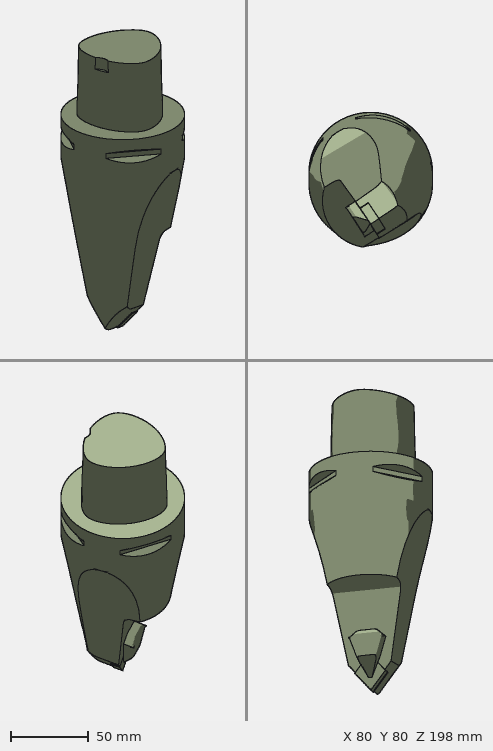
import cadquery as cq
import math


shank_height = 48.0
shank_mean_radius = 27.7
shank_lobe_height = 2.0
shank_taper = 1.2
shank_curve_points = 36

keyway_height = 8.1
keyway_floor_y = -22.5
keyway_radius = 8.0

collar_diameter = 80.0
collar_radius = collar_diameter / 2
collar_height = 30.0
groove_count = 4
groove_z = -12.3
groove_floor_distance = 35.6
groove_floor_height = 3.4
groove_mouth_height = 9.0

tip_z = shank_height - 198
cone_slope = 0.17
flank_slope = 0.18
flank_tangent_z = -81.0
flank_tangent_x = 23.5

chip_space_z = -82.0
chip_space_fillet = 6.0
rake_angle = 8.0

insert_corner_angle = 80.0
insert_edge = 16.0
insert_thickness = 6.3

nose_setback = 0.5
nose_straight_depth = 14.3
relief_radius = 17.8
relief_end_angle = math.radians(40)
relief_run_out = 11.9

clamp_bottom = 8.5
clamp_shoulder = 21.8
clamp_widest = 34.6
clamp_top = 39.8
clamp_bottom_half_width = 1.2
clamp_shoulder_half_width = 7.1
clamp_widest_half_width = 11.5
clamp_top_half_width = 6.0
clamp_rise = 7.0
clamp_tail_radius = 5.0
clamp_edge_radius = 2.0

clearance = 9.9

half_corner = math.radians(insert_corner_angle / 2)
rake = math.radians(rake_angle)
rake_plane = cq.Plane(
    origin=(0, 0, tip_z),
    xDir=(-1, 0, 0),
    normal=(0, math.cos(rake), -math.sin(rake)),
)


def in_rake_frame(shape):
    """Move a shape built around the local origin onto the rake face."""
    return cq.Workplane(shape.val().moved(cq.Location(rake_plane)))


def trilobe_point(mean_radius, angle):
    """Point of the curve whose support function is mean_radius + lobe * cos(3 * angle)."""
    support = mean_radius + shank_lobe_height * math.cos(3 * angle)
    slide = -3 * shank_lobe_height * math.sin(3 * angle)
    x = support * math.sin(angle) + slide * math.cos(angle)
    y = support * math.cos(angle) - slide * math.sin(angle)
    return x, y


def trilobe_points(mean_radius):
    step = 2 * math.pi / shank_curve_points
    return [trilobe_point(mean_radius, i * step) for i in range(shank_curve_points)]


def make_shank():
    shank = (
        cq.Workplane("XY")
        .spline(trilobe_points(shank_mean_radius), periodic=True).close()
        .workplane(offset=shank_height)
        .spline(trilobe_points(shank_mean_radius - shank_taper), periodic=True).close()
        .loft(ruled=True)
    )
    keyway = (
        cq.Workplane("XY", origin=(0, keyway_floor_y - keyway_radius, shank_height - keyway_height))
        .circle(keyway_radius)
        .extrude(keyway_height)
    )
    return shank.cut(keyway)


def make_groove(angle):
    """Straight groove with sloped sides, its floor facing the given direction."""
    depth = collar_radius - groove_floor_distance
    side_slope = (groove_mouth_height - groove_floor_height) / 2 / depth
    outer = collar_radius + clearance
    outer_half = groove_floor_height / 2 + side_slope * (outer - groove_floor_distance)
    floor_half = groove_floor_height / 2
    return (
        cq.Workplane("XZ", origin=(0, 0, groove_z))
        .polyline([
            (groove_floor_distance, -floor_half),
            (outer, -outer_half),
            (outer, outer_half),
            (groove_floor_distance, floor_half),
        ])
        .close()
        .extrude(collar_radius, both=True)
        .rotate((0, 0, 0), (0, 0, 1), angle)
    )


def make_collar():
    collar = cq.Workplane("XY").circle(collar_radius).extrude(-collar_height)
    for i in range(groove_count):
        collar = collar.cut(make_groove((i + 0.5) * 360 / groove_count))
    return collar


def make_flank_outline():
    """Cone limits in X: a concave arc on each side running into a straight slope."""
    end_x = flank_tangent_x + flank_slope * (tip_z - flank_tangent_z)
    return (
        cq.Workplane("XZ")
        .moveTo(end_x, tip_z)
        .lineTo(flank_tangent_x, flank_tangent_z)
        .tangentArcPoint((collar_radius, -collar_height), relative=False)
        .lineTo(0, -collar_height)
        .lineTo(0, tip_z)
        .close()
        .extrude(collar_radius, both=True)
    )


def make_neck():
    neck_length = -collar_height - tip_z
    cone = (
        cq.Workplane("XZ")
        .polyline([
            (0, -collar_height),
            (collar_radius, -collar_height),
            (collar_radius - cone_slope * neck_length, tip_z),
            (0, tip_z),
        ])
        .close()
        .revolve(360, (0, 0, 0), (0, 1, 0))
    )
    flank = make_flank_outline()
    return cone.intersect(flank.union(flank.mirror("YZ")))


def make_chip_space():
    bottom_z = tip_z - clearance
    outer_y = collar_radius + clearance
    return (
        cq.Workplane("YZ")
        .polyline([
            ((bottom_z - tip_z) * math.tan(rake), bottom_z),
            ((chip_space_z - tip_z) * math.tan(rake), chip_space_z),
            (outer_y, chip_space_z),
            (outer_y, bottom_z),
        ])
        .close()
        .extrude(collar_radius, both=True)
        .edges("|X").edges(">Z").edges("<Y").fillet(chip_space_fillet)
    )


def make_nose_cutter():
    """Material beyond one nose wall: straight behind the insert, then curving inward."""
    apex_height = nose_setback / math.sin(half_corner)
    wall_plane = cq.Plane(
        origin=(0, apex_height, 0),
        xDir=(math.cos(half_corner), -math.sin(half_corner), 0),
        normal=(-math.sin(half_corner), -math.cos(half_corner), 0),
    )

    def relief_point(angle):
        inward = relief_radius * (1 - math.cos(angle))
        return -inward, -nose_straight_depth - relief_radius * math.sin(angle)

    end_x, end_depth = relief_point(relief_end_angle)
    run_out_x = end_x - relief_run_out * math.sin(relief_end_angle)
    run_out_depth = end_depth - relief_run_out * math.cos(relief_end_angle)
    return (
        cq.Workplane(wall_plane)
        .moveTo(0, clearance)
        .lineTo(0, -nose_straight_depth)
        .threePointArc(relief_point(relief_end_angle / 2), (end_x, end_depth))
        .lineTo(run_out_x, run_out_depth)
        .lineTo(collar_radius, run_out_depth)
        .lineTo(collar_radius, clearance)
        .close()
        .extrude(collar_radius, both=True)
    )


def make_clamp():
    """Finger that narrows toward the tip, with its nose sloping down to the rake face."""
    right_side = [
        (clamp_bottom_half_width, clamp_bottom),
        (clamp_shoulder_half_width, clamp_shoulder),
        (clamp_widest_half_width, clamp_widest),
        (clamp_top_half_width, clamp_top),
    ]
    left_side = [(-x, y) for x, y in reversed(right_side)]
    plan = cq.Workplane("XY").polyline(right_side + left_side).close().extrude(clamp_rise)
    profile = (
        cq.Workplane("YZ")
        .polyline([
            (clamp_bottom, 0),
            (clamp_shoulder, clamp_rise),
            (clamp_top, clamp_rise),
            (clamp_top, 0),
        ])
        .close()
        .extrude(clamp_widest_half_width, both=True)
        .edges("|X and >Y and >Z").fillet(clamp_tail_radius)
    )
    finger = plan.intersect(profile)
    return in_rake_frame(finger.faces(">Z").edges("not |X").fillet(clamp_edge_radius))


def make_insert():
    half_width = insert_edge * math.sin(half_corner)
    half_length = insert_edge * math.cos(half_corner)
    return in_rake_frame(
        cq.Workplane("XY")
        .polyline([(0, 0), (half_width, half_length), (0, 2 * half_length), (-half_width, half_length)])
        .close()
        .extrude(-insert_thickness)
    )


def make_holder(insert):
    cutter = make_nose_cutter()
    neck = (
        make_neck()
        .cut(make_chip_space())
        .cut(in_rake_frame(cutter))
        .cut(in_rake_frame(cutter.mirror("YZ")))
        .cut(insert)
    )
    return make_shank().union(make_collar()).union(neck).union(make_clamp())


insert = make_insert()
holder = make_holder(insert)

result = cq.Compound.makeCompound([holder.val(), insert.val()])